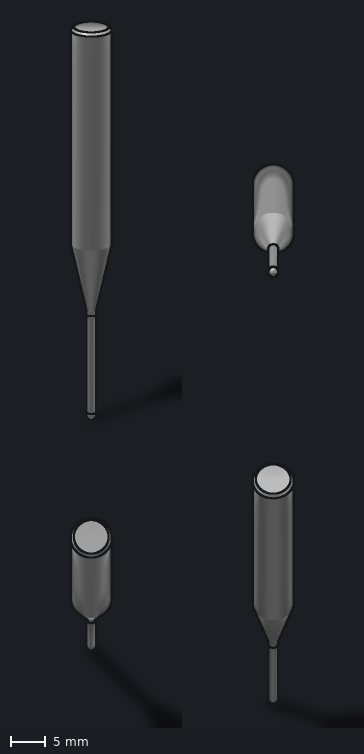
import cadquery as cq

TOTAL_LENGTH = 60.0
SHANK_RADIUS = 3.0
SHANK_CHAMFER = 0.5
BALL_DIAMETER = 1.5
STEM_DIAMETER = 1.4
HEAD_TOP = 1.15
STEM_TOP = 15.5
JOINT_HEIGHT = 16.1
CONE_BOTTOM = 16.8
CONE_TOP = 26.8

BALL_RADIUS = BALL_DIAMETER / 2
STEM_RADIUS = STEM_DIAMETER / 2
COLLAR_RADIUS = BALL_RADIUS
BALL_CENTRE = BALL_RADIUS


def make_shank():
    """Chamfered cylinder tapering down to a short collar."""
    profile = (
        cq.Workplane("XZ")
        .moveTo(0, JOINT_HEIGHT)
        .lineTo(COLLAR_RADIUS, JOINT_HEIGHT)
        .lineTo(COLLAR_RADIUS, CONE_BOTTOM)
        .lineTo(SHANK_RADIUS, CONE_TOP)
        .lineTo(SHANK_RADIUS, TOTAL_LENGTH - SHANK_CHAMFER)
        .lineTo(SHANK_RADIUS - SHANK_CHAMFER, TOTAL_LENGTH)
        .lineTo(0, TOTAL_LENGTH)
        .close()
    )
    return profile.revolve(360, (0, 0), (0, 1))


def make_cutter():
    """Ball-ended head on a slim stem, flaring out to meet the shank collar."""
    profile = (
        cq.Workplane("XZ")
        .moveTo(0, 0)
        .radiusArc((BALL_RADIUS, BALL_CENTRE), -BALL_RADIUS)
        .lineTo(BALL_RADIUS, HEAD_TOP)
        .lineTo(STEM_RADIUS, HEAD_TOP)
        .lineTo(STEM_RADIUS, STEM_TOP)
        .lineTo(COLLAR_RADIUS, JOINT_HEIGHT)
        .lineTo(0, JOINT_HEIGHT)
        .close()
    )
    return profile.revolve(360, (0, 0), (0, 1))


shank = make_shank()
cutter = make_cutter()
result = cq.Compound.makeCompound([shank.val(), cutter.val()])